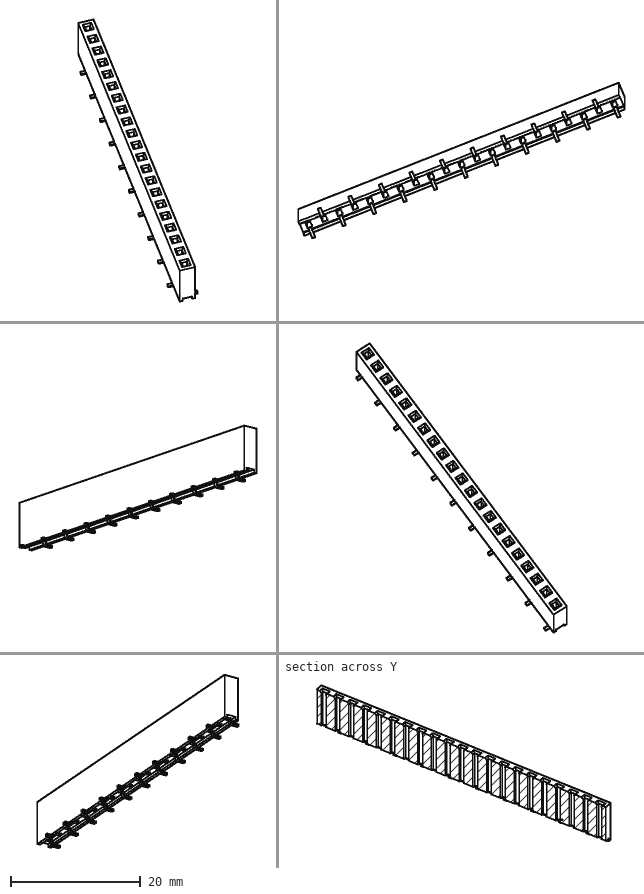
import cadquery as cq
import math

contact_count = 21
pitch = 2.54
total_height = 7.5
tail_span = 4.0

contact_width = 0.5
contact_thickness = 0.25
bend_inner_radius = 0.25
bend_outer_radius = bend_inner_radius + contact_thickness

body_length = contact_count * pitch
body_width = 2.5
body_bottom = 0.3
body_height = total_height - body_bottom

channel_width = 1.5
channel_depth = 0.5
channel_top = body_bottom + channel_depth

bore_size = 0.8
mouth_size = 1.4
lead_in_depth = 0.3


def contact_x(index):
    """X position of a contact, with the row centred on the origin."""
    return (index - (contact_count - 1) / 2) * pitch


def make_body():
    """Rectangular housing with a channel along its whole underside."""
    block = cq.Workplane("XY").workplane(offset=body_bottom).box(
        body_length, body_width, body_height, centered=(True, True, False)
    )
    channel = cq.Workplane("XY").workplane(offset=body_bottom).box(
        body_length, channel_width, channel_depth, centered=(True, True, False)
    )
    return block.cut(channel)


def make_opening(x):
    """Square through bore that widens towards the top face."""
    bore = cq.Workplane("XY").center(x, 0).rect(bore_size, bore_size).extrude(total_height)
    lead_in = (
        cq.Workplane("XY", origin=(x, 0, total_height - lead_in_depth))
        .rect(bore_size, bore_size)
        .workplane(offset=lead_in_depth)
        .rect(mouth_size, mouth_size)
        .loft(ruled=True)
    )
    return bore.union(lead_in)


def make_contact(x, side):
    """L-shaped contact: a leg on the channel wall and a tail out to the given Y side (+1 or -1)."""
    leg_outer = side * channel_width / 2
    leg_inner = leg_outer - side * contact_thickness
    tail_end = side * tail_span / 2
    bend_y = leg_inner + side * bend_outer_radius
    bend_z = bend_outer_radius

    def bend_middle(radius):
        """Middle of the quarter-circle bend, on the 45 degree diagonal."""
        offset = radius * math.sqrt(0.5)
        return (bend_y - side * offset, bend_z - offset)

    profile = (
        cq.Workplane("YZ", origin=(x - contact_width / 2, 0, 0))
        .moveTo(tail_end, 0)
        .lineTo(bend_y, 0)
        .threePointArc(bend_middle(bend_outer_radius), (leg_inner, bend_z))
        .lineTo(leg_inner, channel_top)
        .lineTo(leg_outer, channel_top)
        .lineTo(leg_outer, bend_z)
        .threePointArc(bend_middle(bend_inner_radius), (bend_y, contact_thickness))
        .lineTo(tail_end, contact_thickness)
        .close()
    )
    return profile.extrude(contact_width)


result = make_body()
for index in range(contact_count):
    result = result.cut(make_opening(contact_x(index)))

for index in range(contact_count):
    tail_side = 1 if index % 2 == 0 else -1
    result = result.union(make_contact(contact_x(index), tail_side))